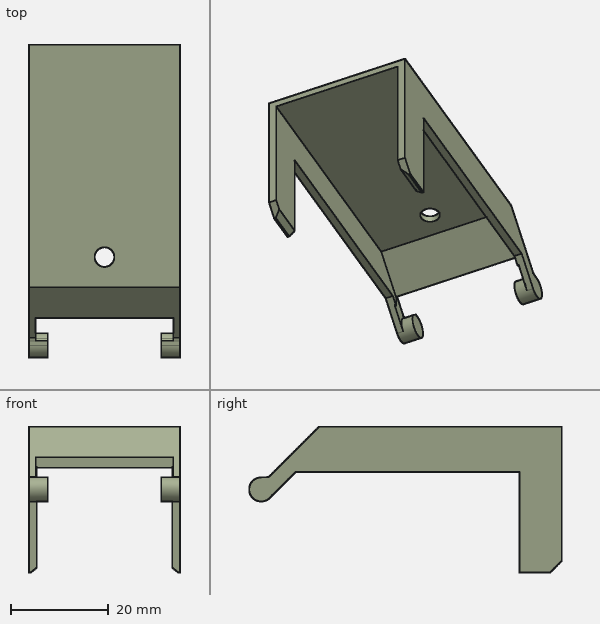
import cadquery as cq
import math

width = 31.0
length = 64.0
height = 29.9

wall = 1.65
plate = 1.55
side_depth = 9.35
slope_start = 14.35

leg_width = 8.7
leg_corner = 2.4
bevel_x = 1.3
bevel_z = 1.0

pin_radius = 2.5
pin_drop = 12.85
pin_length = 3.9
arm = 1.4
nose_front = 8.05
pin_flat = 0.95
ledge_back = 1.5
arm_step = 0.1

hole_diameter = 4.0
hole_y = 20.55

pin_y = pin_radius
pin_z = height - pin_drop
pin_top = pin_z + pin_radius
side_bottom = height - side_depth
diagonal = math.sqrt(2)
slope_end = slope_start - (height - pin_top - arm_step)
tangent = pin_radius / diagonal
arm_root = pin_y + pin_radius * diagonal + side_bottom - pin_z


def extrude_x(profile, x_from, x_to):
    """Extrude a closed YZ profile between two X positions."""
    return profile.extrude(x_to - x_from).translate((x_from, 0, 0))


def side_outline():
    return (
        cq.Workplane("YZ")
        .moveTo(length, height)
        .lineTo(slope_start, height)
        .lineTo(slope_end, pin_top + arm_step)
        .lineTo(pin_y + pin_flat, pin_top)
        .lineTo(pin_y, pin_top)
        .threePointArc((pin_y - pin_radius, pin_z), (pin_y + tangent, pin_z - tangent))
        .lineTo(arm_root, side_bottom)
        .lineTo(length - leg_width, side_bottom)
        .lineTo(length - leg_width, 0)
        .lineTo(length - leg_corner, 0)
        .lineTo(length, leg_corner)
        .close()
    )


def cavity():
    """Space under the top and nose, open at the bottom, front and rear."""
    ceiling = height - plate
    inner_break = slope_start + plate * (diagonal - 1)
    profile = (
        cq.Workplane("YZ")
        .moveTo(length, ceiling)
        .lineTo(inner_break, ceiling)
        .lineTo(inner_break - ceiling, 0)
        .lineTo(length, 0)
        .close()
    )
    half = width / 2 - wall
    return extrude_x(profile, -half, half)


def nose_opening():
    return cq.Workplane("XY").box(
        width - 2 * arm, nose_front, height, centered=(True, False, False)
    )


def pin():
    """Left pin with the small ledge that continues the top of the arm."""
    cylinder = cq.Workplane("YZ").center(pin_y, pin_z).circle(pin_radius).extrude(pin_length)
    ledge_end_z = pin_z + math.sqrt(pin_radius**2 - ledge_back**2)
    ledge = (
        cq.Workplane("YZ")
        .moveTo(pin_y, pin_z)
        .lineTo(pin_y, pin_top)
        .lineTo(pin_y + pin_flat, pin_top)
        .lineTo(pin_y + ledge_back, ledge_end_z)
        .close()
        .extrude(pin_length)
    )
    return cylinder.union(ledge).translate((-width / 2, 0, 0))


def leg_bevel():
    """Wedge removed from the inner lower edge of the left leg."""
    inner_x = wall - width / 2
    return (
        cq.Workplane("XZ")
        .moveTo(inner_x, 0)
        .lineTo(inner_x - bevel_x, 0)
        .lineTo(inner_x, bevel_z)
        .close()
        .extrude(-length)
    )


result = extrude_x(side_outline(), -width / 2, width / 2)
result = result.cut(cavity()).cut(nose_opening())
for feature in (pin(), pin().mirror("YZ")):
    result = result.union(feature)
for bevel in (leg_bevel(), leg_bevel().mirror("YZ")):
    result = result.cut(bevel)

hole = cq.Workplane("XY").center(0, hole_y).circle(hole_diameter / 2).extrude(height)
result = result.cut(hole)